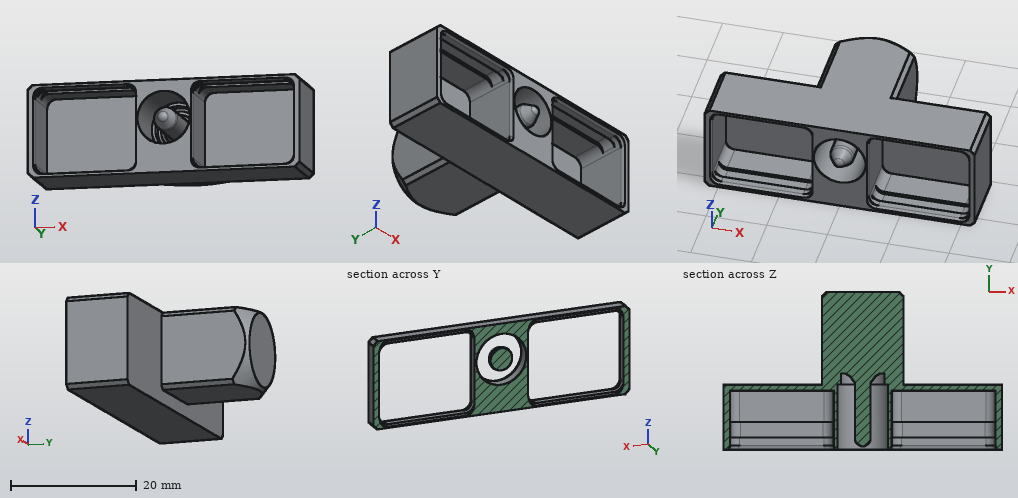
import cadquery as cq
import math

bar_length = 44.45
bar_depth = 10.4
bar_height = 15.02
edge_chamfer = 0.75

overlap = 0.45

neck_width = 13.02
neck_height = 12.62
neck_length = 14.8
neck_end_y = bar_depth + neck_length

axis_z = bar_height - 6.1

end_face_radius = 6.0

pocket_mouth_near = 4.5
pocket_side_margin = 0.9
pocket_mouth_margin_z = 0.5
pocket_depth = 9.42
pocket_corner = 1.5
lead_in_depth = 0.7
lead_in_inset = 0.2

groove_front = 1.95
groove_back = 4.45
groove_height = 0.45
groove_side_inset = 0.15

socket_radius = 4.25
socket_depth = bar_depth
socket_inner_radius = 3.7
socket_step_depth = 1.8
socket_inner_depth = socket_depth + socket_step_depth

pin_tip_radius = 1.0
pin_overhang = 1.0
pin_cone_angle = math.radians(30)
pin_radius = 1.9
pin_shoulder_radius = 1.0
foot_middle_radius = 2.5
foot_radius = 3.15
foot_base_height = 0.5


def chamfered_block(width, depth, height, front_y, base_z):
    """Block centred on X with its four edges along Y chamfered."""
    block = cq.Workplane("XY").box(width, depth, height, centered=(True, False, False))
    return block.edges("|Y").chamfer(edge_chamfer).translate((0, front_y, base_z))


def turn(outline):
    """Turn a (radius, y) outline about the common axis."""
    solid = outline.close().revolve(360, (0, 0, 0), (0, 1, 0))
    return solid.translate((0, 0, axis_z))


def turned_neck_envelope():
    """Round envelope that trims the corners of the neck at its far end."""
    front_y = bar_depth - overlap
    clear_radius = math.hypot(neck_width / 2, neck_height)
    cone_start_y = neck_end_y - (clear_radius - end_face_radius)
    outline = (
        cq.Workplane("XY")
        .moveTo(0, front_y)
        .lineTo(clear_radius, front_y)
        .lineTo(clear_radius, cone_start_y)
        .lineTo(end_face_radius, neck_end_y)
        .lineTo(0, neck_end_y)
    )
    return turn(outline)


def rounded_prism(width, height, start_y, end_y, centre_x):
    """Rounded rectangle in XZ, running back from start_y to end_y."""
    prism = cq.Workplane("XY").box(width, end_y - start_y, height, centered=(True, False, True))
    prism = prism.edges("|Y").fillet(pocket_corner)
    return prism.translate((centre_x, start_y, bar_height / 2))


def pocket(side):
    """Pocket cavity with a tapered mouth; side is -1 or 1."""
    mouth_far = bar_length / 2 - pocket_side_margin
    mouth_width = mouth_far - pocket_mouth_near
    mouth_height = bar_height - 2 * pocket_mouth_margin_z
    centre_x = side * (mouth_far + pocket_mouth_near) / 2
    width = mouth_width - 2 * lead_in_inset
    height = mouth_height - 2 * lead_in_inset
    taper = math.degrees(math.atan(lead_in_inset / lead_in_depth))

    mouth_sketch = cq.Sketch().rect(mouth_width, mouth_height).vertices().fillet(pocket_corner)
    lead_in = (
        cq.Workplane("XZ", origin=(centre_x, 0, bar_height / 2))
        .placeSketch(mouth_sketch)
        .extrude(-lead_in_depth, taper=taper)
    )
    main = rounded_prism(width, height, lead_in_depth, pocket_depth, centre_x)
    groove = rounded_prism(
        width - 2 * groove_side_inset, height + 2 * groove_height, groove_front, groove_back, centre_x
    )
    return lead_in.union(main).union(groove)


def socket():
    """Stepped round recess that surrounds the pin."""
    outline = (
        cq.Workplane("XY")
        .lineTo(socket_radius, 0)
        .lineTo(socket_radius, socket_depth)
        .lineTo(socket_inner_radius, socket_depth)
        .lineTo(socket_inner_radius, socket_inner_depth)
        .lineTo(0, socket_inner_depth)
    )
    return turn(outline)


def arc_point(centre, radius, angle):
    """Point on a (radius, y) arc; angle 0 faces outward, 90 degrees faces the tip."""
    return (centre[0] + radius * math.cos(angle), centre[1] - radius * math.sin(angle))


def pin():
    """Pin standing on the floor of the socket and reaching past the front face."""
    tip_y = -pin_overhang
    tip_centre = (0, tip_y + pin_tip_radius)
    cone_start = arc_point(tip_centre, pin_tip_radius, pin_cone_angle)
    tip_mid = arc_point(tip_centre, pin_tip_radius, (pin_cone_angle + math.pi / 2) / 2)

    shoulder_x = pin_radius - pin_shoulder_radius
    cone_end_radius = shoulder_x + pin_shoulder_radius * math.cos(pin_cone_angle)
    cone_end_y = cone_start[1] + (cone_end_radius - cone_start[0]) / math.tan(pin_cone_angle)
    shoulder_centre = (shoulder_x, cone_end_y + pin_shoulder_radius * math.sin(pin_cone_angle))
    shoulder_mid = arc_point(shoulder_centre, pin_shoulder_radius, pin_cone_angle / 2)

    foot_middle_y = socket_inner_depth - foot_base_height
    foot_start_y = foot_middle_y - (foot_middle_radius - pin_radius) / math.tan(pin_cone_angle)
    root_y = socket_inner_depth + overlap
    outline = (
        cq.Workplane("XY")
        .moveTo(0, tip_y)
        .threePointArc(tip_mid, cone_start)
        .lineTo(cone_end_radius, cone_end_y)
        .threePointArc(shoulder_mid, (pin_radius, shoulder_centre[1]))
        .lineTo(pin_radius, foot_start_y)
        .lineTo(foot_middle_radius, foot_middle_y)
        .lineTo(foot_radius, socket_inner_depth)
        .lineTo(foot_radius, root_y)
        .lineTo(0, root_y)
    )
    return turn(outline)


bar = chamfered_block(bar_length, bar_depth, bar_height, 0, 0)

neck = chamfered_block(
    neck_width, neck_length + overlap, neck_height, bar_depth - overlap, bar_height - neck_height
)
neck = neck.intersect(turned_neck_envelope())

result = bar.union(neck)
for side in (-1, 1):
    result = result.cut(pocket(side))
result = result.cut(socket()).union(pin())